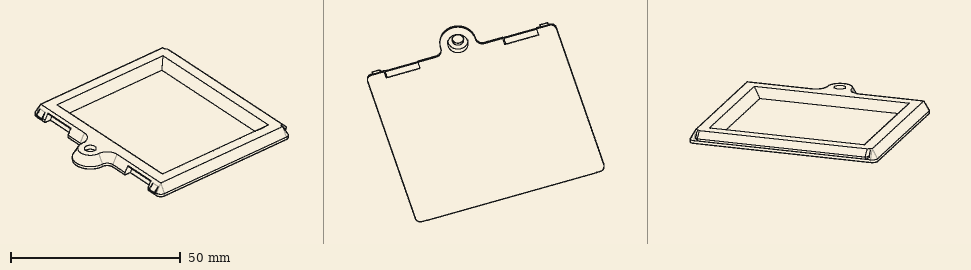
import cadquery as cq
import math

plate_width = 58.2
plate_depth = 50.15
total_height = 3.8
band_height = 0.9
side_lean = 29.0
corner_radius = 1.65

tab_radius = 5.35
tab_reach = 2.35
tab_flare_x = 7.45
tab_hole_diameter = 3.4
tab_recess_diameter = 6.0
tab_recess_depth = 2.4

pocket_width = 48.2
pocket_back_margin = 4.35
pocket_front_margin = 5.05
pocket_wall_run = 2.65
pocket_depth = 2.65

rib_reach = 0.95
rib_tip_height = 1.9
rib_tip_length = 52.2
rib_end_bevel = 0.9
rib_overlap = 0.6

notch_inner_x = 13.05
notch_outer_x = 23.5
notch_lip_inset = 1.1
notch_lip_undercut = 0.1
notch_foot_inset = 2.0
notch_wall_height = 2.45
notch_clearance = 0.6

peg_inner_x = 24.65
peg_outer_x = 27.05
peg_reach = 0.5
peg_tip_height = 1.05
peg_top_height = 2.65
peg_bottom_height = 0.6

front_y = -plate_depth / 2
back_y = plate_depth / 2
tab_y = front_y - tab_reach
slope_height = total_height - band_height
lean_ratio = math.tan(math.radians(side_lean))
slope_inset = slope_height * lean_ratio


def make_body():
    """Plate and half-round tab in one outline, with round blends between them."""
    side_x = plate_width / 2
    corner_y = corner_radius - corner_radius * math.sqrt(0.5)
    corner_x = side_x - corner_y
    straight_x = side_x - corner_radius

    blend_radius = (tab_flare_x**2 + tab_reach**2 - tab_radius**2) / (2 * (tab_radius + tab_reach))
    blend_y = front_y - blend_radius
    touch_share = tab_radius / (tab_radius + blend_radius)
    touch_x = tab_flare_x * touch_share
    touch_y = tab_y + (blend_y - tab_y) * touch_share
    blend_mid_x = tab_flare_x - blend_radius * math.sqrt(0.5)
    blend_mid_y = blend_y + blend_radius * math.sqrt(0.5)

    outline = (
        cq.Workplane()
        .moveTo(-tab_flare_x, front_y)
        .threePointArc((-blend_mid_x, blend_mid_y), (-touch_x, touch_y))
        .threePointArc((0, tab_y - tab_radius), (touch_x, touch_y))
        .threePointArc((blend_mid_x, blend_mid_y), (tab_flare_x, front_y))
        .lineTo(straight_x, front_y)
        .threePointArc((corner_x, front_y + corner_y), (side_x, front_y + corner_radius))
        .lineTo(side_x, back_y - corner_radius)
        .threePointArc((corner_x, back_y - corner_y), (straight_x, back_y))
        .lineTo(-straight_x, back_y)
        .threePointArc((-corner_x, back_y - corner_y), (-side_x, back_y - corner_radius))
        .lineTo(-side_x, front_y + corner_radius)
        .threePointArc((-corner_x, front_y + corner_y), (-straight_x, front_y))
        .close()
    )
    band = outline.extrude(band_height)
    slope = (
        band.faces(">Z").wires().toPending()
        .workplane().extrude(slope_height, taper=side_lean, combine=False)
    )
    return band.union(slope)


def make_rib():
    """Ridge whose plan outline shifts inward at 45 degrees above and below its tip."""
    tip_y = back_y + rib_reach
    root_y = back_y - slope_inset - rib_overlap
    half_tip = rib_tip_length / 2
    half_root = half_tip + rib_end_bevel

    def section(height):
        outer_y = tip_y - abs(height - rib_tip_height)
        bevel_y = outer_y - rib_end_bevel
        corners = [
            (-half_tip, outer_y),
            (half_tip, outer_y),
            (half_root, bevel_y),
            (half_root, root_y),
            (-half_root, root_y),
            (-half_root, bevel_y),
        ]
        return cq.Wire.makePolygon([cq.Vector(x, y, height) for x, y in corners], close=True)

    heights = (band_height, rib_tip_height, total_height)
    return cq.Workplane(cq.Solid.makeLoft([section(height) for height in heights], True))


def make_pocket():
    """Pocket that narrows evenly from its rim to its floor."""
    depth = plate_depth - pocket_back_margin - pocket_front_margin
    center_y = (pocket_front_margin - pocket_back_margin) / 2
    return (
        cq.Workplane()
        .workplane(offset=total_height)
        .center(0, center_y)
        .rect(pocket_width, depth)
        .workplane(offset=-pocket_depth)
        .rect(pocket_width - 2 * pocket_wall_run, depth - 2 * pocket_wall_run)
        .loft(ruled=True)
    )


def front_prism(points, inner_x, outer_x):
    """Prism along X from (distance behind the front base edge, height) points, on both sides."""
    profile = [(front_y + inset, height) for inset, height in points]
    prism = cq.Workplane("YZ").workplane(offset=inner_x).polyline(profile).close().extrude(outer_x - inner_x)
    return prism.union(prism.mirror("YZ"))


def make_notches():
    """Notches with a back wall parallel to the leaning side and a flat ceiling behind the lip."""
    lip_height = band_height + notch_lip_inset / lean_ratio
    wall_top_inset = notch_foot_inset + notch_wall_height * lean_ratio
    points = [
        (-notch_clearance, 0),
        (notch_foot_inset, 0),
        (wall_top_inset, notch_wall_height),
        (notch_lip_inset + notch_lip_undercut, notch_wall_height),
        (notch_lip_inset, lip_height),
        (-notch_clearance, lip_height),
    ]
    return front_prism(points, notch_inner_x, notch_outer_x)


def make_pegs():
    """Pegs with a sloping front that meets a short undercut at the tip."""
    points = [
        (slope_inset, peg_bottom_height),
        (0, peg_bottom_height),
        (-peg_reach, peg_tip_height),
        ((peg_top_height - band_height) * lean_ratio, peg_top_height),
        (slope_inset, peg_top_height),
    ]
    return front_prism(points, peg_inner_x, peg_outer_x)


tab_recess = cq.Workplane().center(0, tab_y).circle(tab_recess_diameter / 2).extrude(tab_recess_depth)
tab_hole = cq.Workplane().center(0, tab_y).circle(tab_hole_diameter / 2).extrude(total_height)

result = (
    make_body()
    .union(make_rib())
    .cut(make_pocket())
    .cut(make_notches())
    .union(make_pegs())
    .cut(tab_hole)
    .cut(tab_recess)
)